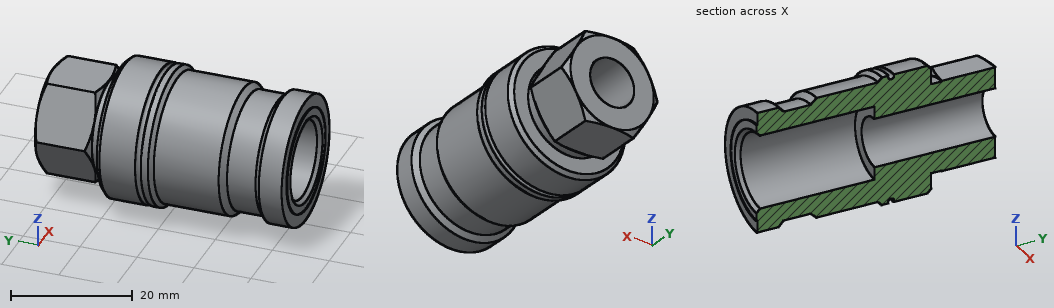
import cadquery as cq
import math


total_length = 44.5

hex_across_flats = 17.0
hex_length = 10.0
hex_chamfer_angle = 30.0

neck_diameter = 16.8
neck_length = 1.9

collar_diameter = 24.0
collar_length = 10.0
collar_bevel = 0.75
groove_width = 1.0
groove_depth = 0.8
groove_to_collar_rear = 7.5

sleeve_diameter = collar_diameter - 2 * collar_bevel
waist_diameter = 20.5
rim_length = 4.0
waist_length = 5.0
waist_front_taper = 0.95
waist_rear_taper = 1.1

seat_ring_diameter = 18.0
seat_ring_height = 0.15

through_bore_diameter = 9.0
socket_diameter = 13.6
socket_depth = 22.0
socket_mouth_diameter = 15.0

hex_front = total_length - hex_length
collar_rear = hex_front - neck_length
collar_front = collar_rear - collar_length
groove_center = collar_rear - groove_to_collar_rear
front_face = seat_ring_height
rim_rear = front_face + rim_length
waist_front = rim_rear + waist_front_taper
waist_rear = waist_front + waist_length
sleeve_front = waist_rear + waist_rear_taper


def revolve_about_y(profile):
    return profile.close().revolve(360, (0, 0, 0), (0, 1, 0))


def make_turned_body():
    """Seat ring, sleeve, collar and neck as one solid of revolution."""
    seat_radius = seat_ring_diameter / 2
    sleeve_radius = sleeve_diameter / 2
    waist_radius = waist_diameter / 2
    collar_radius = collar_diameter / 2
    neck_radius = neck_diameter / 2
    groove_radius = groove_width / 2
    groove_floor = collar_radius - groove_depth
    groove_arc_start = groove_floor + groove_radius

    profile = (
        cq.Workplane("XY")
        .moveTo(0, 0)
        .lineTo(seat_radius, 0)
        .lineTo(seat_radius, front_face)
        .lineTo(sleeve_radius, front_face)
        .lineTo(sleeve_radius, rim_rear)
        .lineTo(waist_radius, waist_front)
        .lineTo(waist_radius, waist_rear)
        .lineTo(sleeve_radius, sleeve_front)
        .lineTo(sleeve_radius, collar_front)
        .lineTo(collar_radius, collar_front + collar_bevel)
        .lineTo(collar_radius, groove_center - groove_radius)
        .lineTo(groove_arc_start, groove_center - groove_radius)
        .threePointArc(
            (groove_floor, groove_center),
            (groove_arc_start, groove_center + groove_radius),
        )
        .lineTo(collar_radius, groove_center + groove_radius)
        .lineTo(collar_radius, collar_rear - collar_bevel)
        .lineTo(collar_radius - collar_bevel, collar_rear)
        .lineTo(neck_radius, collar_rear)
        .lineTo(neck_radius, hex_front)
        .lineTo(0, hex_front)
    )
    return revolve_about_y(profile)


def make_hexagon():
    """Hexagon with flats facing +Z and -Z, its corners coned off at both ends."""
    angle = math.radians(hex_chamfer_angle)
    flat_radius = hex_across_flats / 2
    corner_radius = flat_radius / math.cos(math.pi / 6)
    chamfer_length = (corner_radius - flat_radius) * math.tan(angle)

    prism = (
        cq.Workplane("XZ", origin=(0, total_length, 0))
        .polygon(6, 2 * corner_radius)
        .extrude(hex_length)
    )
    envelope = revolve_about_y(
        cq.Workplane("XY")
        .moveTo(0, hex_front)
        .lineTo(flat_radius, hex_front)
        .lineTo(corner_radius, hex_front + chamfer_length)
        .lineTo(corner_radius, total_length - chamfer_length)
        .lineTo(flat_radius, total_length)
        .lineTo(0, total_length)
    )
    return prism.intersect(envelope)


def make_bore():
    """Through bore, front socket and the bevel at the socket mouth."""
    bore_radius = through_bore_diameter / 2
    socket_radius = socket_diameter / 2
    mouth_radius = socket_mouth_diameter / 2
    mouth_bevel = mouth_radius - socket_radius

    profile = (
        cq.Workplane("XY")
        .moveTo(0, 0)
        .lineTo(mouth_radius, 0)
        .lineTo(socket_radius, mouth_bevel)
        .lineTo(socket_radius, socket_depth)
        .lineTo(bore_radius, socket_depth)
        .lineTo(bore_radius, total_length)
        .lineTo(0, total_length)
    )
    return revolve_about_y(profile)


result = make_turned_body().union(make_hexagon()).cut(make_bore())